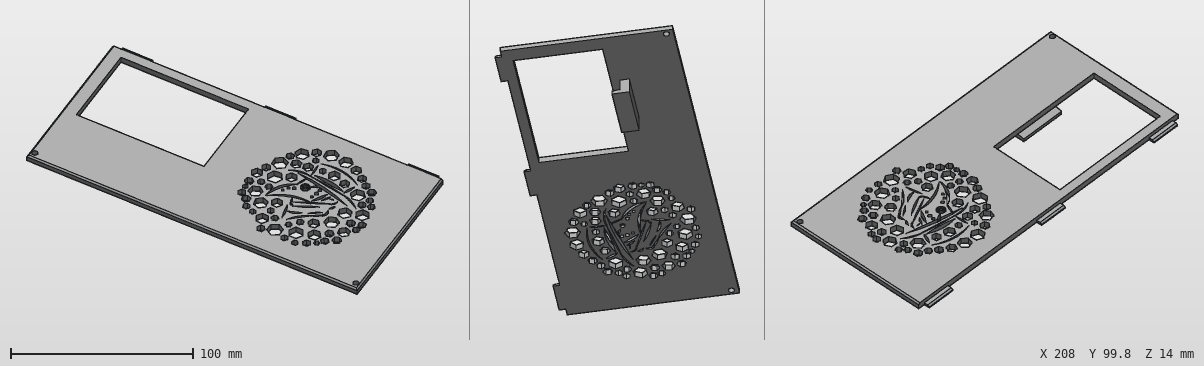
import cadquery as cq
import math


panel_length = 208.0
panel_depth = 96.0
panel_thickness = 4.0
total_height = 14.0
panel_bottom = total_height - panel_thickness
edge_chamfer = 1.0

window_left = 8.5
window_front = 40.5
window_length = 80.3
window_depth = 50.0

screw_diameter = 3.3
screw_side_inset = 3.0
screw_front_inset = 4.0

tab_length = 19.0
tab_thickness = 1.5
tab_reach = 99.8 - panel_depth
tab_tip_run = 1.2
tab_tip_drop = 0.73
tab_pitch = 90.0

latch_left = 33.7
latch_length = 30.4
latch_front = 30.2
latch_thickness = 5.2
hook_reach = 4.5
hook_tip_height = 2.0
hook_root_height = 3.0

vents_by_width = {
    8.0: [(124.0, 63.2, 35), (126.7, 52.6, 5), (146.5, 17.7, 30)],
    7.5: [(145.8, 82.0, 35), (157.7, 21.2, 0), (170.8, 37.9, 25), (173.3, 62.8, 10)],
    7.0: [
        (122.7, 38.0, 25), (129.5, 31.6, 40), (131.2, 75.0, 10),
        (155.4, 81.3, 15), (173.7, 47.5, 45), (182.8, 50.8, 55),
    ],
    6.7: [(136.0, 21.6, 55), (167.2, 24.8, 5)],
    6.2: [(154.8, 69.3, 55), (180.3, 34.5, 40)],
    5.8: [(116.5, 50.5, 55), (134.8, 56.8, 55), (137.3, 36.0, 55), (162.7, 32.2, 10)],
    5.5: [(132.0, 67.0, 40), (139.0, 68.0, 45), (163.3, 78.8, 5)],
    5.0: [(137.7, 79.9, 50), (162.7, 66.8, 45)],
    4.5: [
        (115.9, 43.0, 20), (119.0, 56.5, 55), (121.0, 30.4, 40), (169.0, 74.9, 50),
        (173.9, 29.7, 15), (178.9, 68.2, 30), (180.0, 27.2, 25), (180.3, 42.2, 45),
    ],
    4.2: [
        (116.7, 33.5, 0), (126.3, 70.5, 45), (139.2, 14.8, 5), (166.6, 17.3, 5),
        (173.7, 71.1, 0), (174.5, 23.5, 10), (178.9, 57.5, 45), (186.4, 44.0, 45),
    ],
    3.7: [
        (121.9, 45.8, 15), (124.0, 25.5, 45), (127.5, 44.5, 25), (137.3, 29.1, 0),
        (142.0, 25.4, 15), (147.5, 69.3, 0), (154.0, 14.8, 55), (155.5, 29.5, 45),
        (181.0, 62.5, 20), (184.0, 58.7, 15), (185.3, 39.3, 45),
    ],
    3.3: [(129.0, 23.7, 50), (140.2, 74.5, 45), (151.0, 24.8, 35), (160.8, 14.4, 10)],
    3.0: [(116.0, 38.3, 0), (171.4, 20.0, 25)],
}

face_slits = {
    "hat crown": [(144.0, 73.6), (155.5, 74.9), (169.0, 69.5), (155.2, 74.0)],
    "hat left side": [(143.0, 71.8), (143.0, 67.8), (143.5, 63.5), (144.0, 67.8)],
    "hat right side": [(168.7, 67.2), (167.9, 63.5), (165.8, 60.5), (166.6, 64.0)],
    "hat band": [(145.2, 64.3), (155.8, 64.5), (165.0, 61.2), (154.0, 62.2)],
    "brim left end": [(130.8, 60.7), (137.0, 63.2), (144.8, 62.2), (137.0, 62.5)],
    "brim top": [(143.5, 62.6), (156.6, 61.0), (169.7, 58.0), (156.5, 60.1)],
    "brim right end": [(165.5, 59.0), (171.4, 57.6), (177.2, 53.5), (171.0, 56.8)],
    "brim underside": [(136.0, 61.4), (158.5, 57.8), (172.0, 52.8), (157.9, 56.2)],
    "forehead": [(142.5, 60.3), (141.0, 57.5), (140.0, 53.9), (141.9, 57.0)],
    "brow": [(147.7, 55.5), (149.8, 57.6), (152.9, 58.7), (150.5, 56.5)],
    "nose": [(140.6, 53.9), (133.0, 48.7), (129.2, 37.9), (134.4, 47.8)],
    "upper lip": [(130.0, 38.0), (140.2, 44.3), (154.1, 45.1), (140.0, 42.8)],
    "mouth": [(144.8, 40.8), (154.8, 46.0), (164.5, 50.1), (155.5, 45.3)],
    "mouth corner": [(162.7, 49.0), (164.7, 50.8), (166.0, 53.0), (165.5, 50.5)],
    "lip front": [(143.0, 43.0), (143.0, 41.2), (144.0, 39.5), (144.0, 41.4)],
    "lip corner": [(143.5, 39.5), (144.8, 38.5), (146.5, 38.0), (145.4, 39.0)],
    "lower lip": [(146.0, 38.0), (151.8, 41.4), (159.3, 44.7), (152.5, 40.4)],
    "chin": [(143.0, 37.5), (144.0, 32.0), (145.2, 27.5), (145.0, 32.7)],
    "chin underside": [(145.4, 33.3), (148.7, 34.5), (153.0, 36.2), (148.3, 33.0)],
    "throat": [(148.0, 27.5), (153.3, 33.5), (159.1, 36.8), (154.1, 32.7)],
    "jaw": [(158.0, 36.2), (161.6, 39.0), (165.4, 41.4), (162.5, 38.3)],
    "jaw corner": [(164.1, 39.5), (164.5, 42.0), (164.7, 44.5), (165.8, 41.8)],
    "jaw back": [(164.5, 45.8), (165.2, 47.5), (166.5, 49.0), (166.2, 47.0)],
    "cheek": [(156.2, 37.2), (159.1, 40.0), (162.9, 41.8), (159.7, 39.3)],
    "sideburn": [(158.3, 55.1), (155.4, 51.0), (153.3, 46.4), (157.2, 51.0)],
    "ear": [(160.8, 54.3), (159.1, 52.2), (157.9, 49.5), (160.0, 51.5)],
    "ear lobe": [(161.2, 52.8), (162.2, 53.2), (163.5, 53.0), (162.2, 52.6)],
}

face_dots = [
    (153.3, 55.7, 1.93),
    (152.9, 52.6, 2.3),
    (151.8, 49.3, 1.6),
    (140.2, 50.3, 2.0),
    (137.3, 48.9, 1.65),
    (135.5, 46.0, 1.6),
]

eye_center = (145.2, 53.9)
eye_hole_diameter = 2.7
eye_steps = [(5.5, 1.0), (4.0, 2.0)]


def make_panel():
    """Flat panel with its top edge chamfered on the left, right and front."""
    panel = cq.Workplane("XY").box(panel_length, panel_depth, panel_thickness, centered=False)
    panel = panel.translate((0, 0, panel_bottom))
    return panel.faces(">Z").edges("<X or >X or <Y").chamfer(edge_chamfer)


def make_tab(center_x):
    """Tab behind the panel, level with its bottom face and bevelled at the tip."""
    tip_y = panel_depth + tab_reach
    tab_top = panel_bottom + tab_thickness
    return (
        cq.Workplane("YZ", origin=(center_x, 0, 0))
        .moveTo(panel_depth, panel_bottom)
        .lineTo(tip_y, panel_bottom)
        .lineTo(tip_y, tab_top - tab_tip_drop)
        .lineTo(tip_y - tab_tip_run, tab_top)
        .lineTo(panel_depth, tab_top)
        .close()
        .extrude(tab_length / 2, both=True)
    )


def make_latch():
    """Leg below the panel with a hook at its foot that points to the back."""
    leg_back = latch_front + latch_thickness
    return (
        cq.Workplane("YZ", origin=(latch_left, 0, 0))
        .moveTo(latch_front, 0)
        .lineTo(leg_back + hook_reach, 0)
        .lineTo(leg_back + hook_reach, hook_tip_height)
        .lineTo(leg_back, hook_root_height)
        .lineTo(leg_back, panel_bottom)
        .lineTo(latch_front, panel_bottom)
        .close()
        .extrude(latch_length)
    )


def panel_sketch():
    """Workplane on the bottom face of the panel, for cutters that run up through it."""
    return cq.Workplane("XY", origin=(0, 0, panel_bottom))


def round_cutter(x, y, diameter):
    return panel_sketch().center(x, y).circle(diameter / 2).extrude(panel_thickness)


def vent_cutter(x, y, width, corner_angle):
    corner_diameter = width / math.cos(math.pi / 6)
    hexagon = cq.Workplane("XY").polygon(6, corner_diameter).extrude(panel_thickness)
    return hexagon.rotate((0, 0, 0), (0, 0, 1), corner_angle).translate((x, y, panel_bottom))


def slit_cutter(start, side_middle, end, other_middle):
    """Slit between two arcs that share their pointed ends."""
    return (
        panel_sketch()
        .moveTo(*start)
        .threePointArc(side_middle, end)
        .threePointArc(other_middle, start)
        .close()
        .extrude(panel_thickness)
    )


def eye_cutters():
    cutters = [round_cutter(*eye_center, eye_hole_diameter)]
    for diameter, depth in eye_steps:
        step = round_cutter(*eye_center, diameter)
        cutters.append(step.translate((0, 0, panel_thickness - depth)))
    return cutters


def window_cutter():
    return (
        panel_sketch()
        .center(window_left, window_front)
        .rect(window_length, window_depth, centered=False)
        .extrude(panel_thickness)
    )


cutters = [window_cutter()]
for screw_x in (screw_side_inset, panel_length - screw_side_inset):
    cutters.append(round_cutter(screw_x, screw_front_inset, screw_diameter))
for width, places in vents_by_width.items():
    for x, y, corner_angle in places:
        cutters.append(vent_cutter(x, y, width, corner_angle))
for slit in face_slits.values():
    cutters.append(slit_cutter(*slit))
for x, y, diameter in face_dots:
    cutters.append(round_cutter(x, y, diameter))
cutters.extend(eye_cutters())

cut_panel = make_panel().val().cut(*[cutter.val() for cutter in cutters])
result = cq.Workplane(cut_panel)
for tab_index in (-1, 0, 1):
    result = result.union(make_tab(panel_length / 2 + tab_index * tab_pitch))
result = result.union(make_latch())